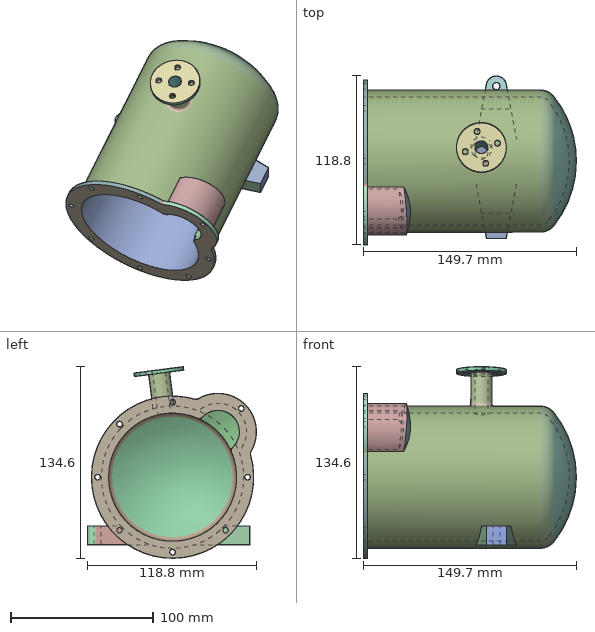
import cadquery as cq
import math

shell_radius = 50.0
bore_diameter = 90.0
wall = shell_radius - bore_diameter / 2
total_length = 149.7
straight_length = 124.2
knuckle_radius = 12.3

flange_radius = 57.0
flange_thickness = 3.0
bolt_hole_diameter = 3.7
bolt_circle_radius = 52.7
bolt_spacing = 45
blend_radius = 3.0

chamber_angle = 45
chamber_offset = 45.0
chamber_radius = 20.0
lobe_radius = 27.1
lobe_bolt_offset = 68.2
chamber_dome_radius = 46.4
chamber_dome_offset = shell_radius
chamber_dome_tip = 33.2

nozzle_x = 82.9
nozzle_tilt = 7.4
nozzle_height = 76.0
nozzle_diameter = 15.0
nozzle_bore = 9.0
nozzle_foot_radius = 2.0
nozzle_flange_diameter = 35.0
nozzle_flange_thickness = 2.5
nozzle_bolt_diameter = 4.0
nozzle_bolt_circle_radius = 11.7
nozzle_bolt_rotation = 15

lug_x = 93.4
lug_bottom = -47.5
lug_height = 13.3
lug_taper = 10.5
lug_eye_y = 52.7
lug_eye_radius = 7.2
lug_hole_diameter = 5.0
lug_plain_end_y = -54.3


def disc(radius, start, end, y=0.0, z=0.0):
    """Cylinder along X between two X positions."""
    return cq.Workplane("YZ", origin=(start, y, z)).circle(radius).extrude(end - start)


def chamber_point(distance):
    """(y, z) on the radial line from the shell axis through the side chamber."""
    angle = math.radians(chamber_angle)
    return -distance * math.sin(angle), distance * math.cos(angle)


def vessel_body(inset):
    """Solid of revolution with a dished end, offset inward by inset."""
    depth = total_length - straight_length
    knuckle_center = shell_radius - knuckle_radius
    crown_radius = (depth**2 - knuckle_radius**2 + knuckle_center**2) / (2 * (depth - knuckle_radius))
    crown_center = total_length - crown_radius
    joint_angle = math.asin(knuckle_center / (crown_radius - knuckle_radius))
    crown = crown_radius - inset
    knuckle = knuckle_radius - inset

    def on_crown(angle):
        return crown_center + crown * math.cos(angle), crown * math.sin(angle)

    def on_knuckle(angle):
        return straight_length + knuckle * math.cos(angle), knuckle_center + knuckle * math.sin(angle)

    radius = shell_radius - inset
    return (
        cq.Workplane("XY")
        .lineTo(0, radius)
        .lineTo(straight_length, radius)
        .threePointArc(on_knuckle((joint_angle + math.pi / 2) / 2), on_crown(joint_angle))
        .threePointArc(on_crown(joint_angle / 2), on_crown(0))
        .close()
        .revolve(360, (0, 0, 0), (1, 0, 0))
    )


def chamber_body(inset):
    """Side chamber cylinder closed by a spherical end, offset inward by inset."""
    sphere_center = (chamber_dome_tip - chamber_dome_radius, *chamber_point(chamber_dome_offset))
    dome = cq.Workplane("XY").sphere(chamber_dome_radius - inset).translate(sphere_center)
    cylinder = disc(chamber_radius - inset, 0, chamber_dome_tip, *chamber_point(chamber_offset))
    return cylinder.intersect(dome)


def lobed_plate(round_radius, side_radius):
    """Plate as thick as the main flange: a disc and its side lobe, with blended inner corners."""
    plate = disc(round_radius, 0, flange_thickness)
    plate = plate.union(disc(side_radius, 0, flange_thickness, *chamber_point(chamber_offset)))
    corner_region = cq.selectors.BoxSelector(
        (0, -round_radius, 1.5), (flange_thickness, -1.5, round_radius)
    )
    return plate.edges("|X").edges(corner_region).fillet(blend_radius)


def main_bolt_holes():
    """Eight holes; the one beside the chamber moves out to the edge of the lobe."""
    holes = disc(bolt_hole_diameter / 2, 0, flange_thickness, *chamber_point(lobe_bolt_offset))
    for angle in range(0, 360, bolt_spacing):
        if angle == chamber_angle:
            continue
        y = -bolt_circle_radius * math.sin(math.radians(angle))
        z = bolt_circle_radius * math.cos(math.radians(angle))
        holes = holes.union(disc(bolt_hole_diameter / 2, 0, flange_thickness, y, z))
    return holes


def place_nozzle(shape):
    """Tilt a shape built upright on the Z axis and move it along the shell."""
    return shape.rotate((0, 0, 0), (1, 0, 0), -nozzle_tilt).translate((nozzle_x, 0, 0))


def nozzle_pipe():
    pipe = cq.Workplane("XY").circle(nozzle_diameter / 2).extrude(nozzle_height)
    return place_nozzle(pipe)


def nozzle_flange():
    plate = (
        cq.Workplane("XY", origin=(0, 0, nozzle_height - nozzle_flange_thickness))
        .circle(nozzle_flange_diameter / 2)
        .extrude(nozzle_flange_thickness)
        .faces(">Z")
        .workplane()
        .polarArray(nozzle_bolt_circle_radius, nozzle_bolt_rotation, 360, 4)
        .hole(nozzle_bolt_diameter)
    )
    return place_nozzle(plate)


def nozzle_passage():
    return place_nozzle(cq.Workplane("XY").circle(nozzle_bore / 2).extrude(nozzle_height))


def lugs():
    """One bar across the shell: a rounded eye at +Y and a square end at -Y."""
    taper = math.radians(lug_taper)
    tangent_y = lug_eye_y + lug_eye_radius * math.sin(taper)
    tangent_half_width = lug_eye_radius * math.cos(taper)

    def half_width(y):
        return tangent_half_width + (tangent_y - abs(y)) * math.tan(taper)

    middle = half_width(0)
    plain_end = half_width(lug_plain_end_y)
    return (
        cq.Workplane("XY", origin=(lug_x, 0, lug_bottom))
        .moveTo(-plain_end, lug_plain_end_y)
        .lineTo(plain_end, lug_plain_end_y)
        .lineTo(middle, 0)
        .lineTo(tangent_half_width, tangent_y)
        .threePointArc((0, lug_eye_y + lug_eye_radius), (-tangent_half_width, tangent_y))
        .lineTo(-middle, 0)
        .close()
        .moveTo(0, lug_eye_y)
        .circle(lug_hole_diameter / 2)
        .extrude(lug_height)
    )


foot_region = cq.selectors.BoxSelector(
    (nozzle_x - nozzle_diameter, -nozzle_diameter, shell_radius - wall),
    (nozzle_x + nozzle_diameter, 2 * nozzle_diameter, shell_radius + wall),
)
body = vessel_body(0).union(nozzle_pipe()).edges(foot_region).fillet(nozzle_foot_radius)
body = body.union(nozzle_flange()).union(chamber_body(0)).union(lugs())
body = body.union(lobed_plate(flange_radius, lobe_radius))
body = body.cut(vessel_body(wall)).cut(chamber_body(wall)).cut(nozzle_passage())

body = body.cut(lobed_plate(shell_radius - wall, chamber_radius - wall))
result = body.cut(main_bolt_holes())